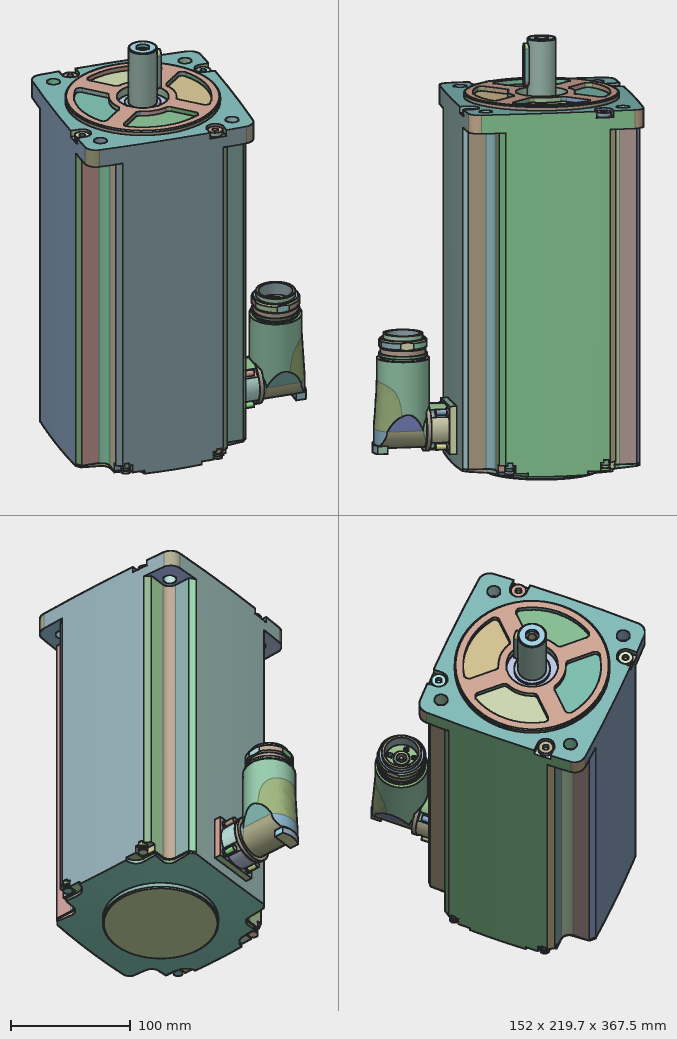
import cadquery as cq
import math


shaft_top = 367.5
pilot_top = 321.5
flange_top = 317.5
flange_bottom = 301.7
cap_top = 11.5

half_width = 76.0
side_sag = 1.5
corner_radius = 10.0
recess_start = 44.5
recess_chamfer = 5.0
recess_lip = 3.5
recess_inner = recess_start + recess_chamfer
recess_fillet = 7.5
cap_inset = 1.0

rear_plate_radius = 48.5
rear_plate_chamfer = 1.0
rear_cone_start = 5.0
rear_cone_slope = 0.11

bolt_offset = 58.5
bolt_hole_diameter = 11.0
screw_along_side = 40.0
screw_offset = 68.0
screw_slot_width = 14.7
screw_slot_depth = 5.5
screw_head_diameter = 12.5
screw_head_height = 3.5
screw_socket_diameter = 5.0

pilot_radius = 65.0
pilot_chamfer = 1.0
pocket_depth = 4.0
pocket_inner_radius = 28.3
pocket_outer_radius = 57.7
spoke_half_width = 7.7
pocket_corner = 4.0
bore_radius = 21.5
bore_depth = 7.5
seal_radius = 15.0
seal_height = 2.2

shaft_radius = 24.0 / 2
shaft_chamfer = 0.7
center_sink_diameter = 11.0
center_hole_diameter = 7.0
center_sink_depth = 3.0
center_hole_depth = 18.5
key_width = 8.0
key_height = 15.0
key_bottom = 327.0
key_length = 36.0

niche_center = 40.8
niche_inner = 36.0
niche_floor = 67.5
niche_top = 18.5
niche_runout = 10.5
rear_screw_radius = 4.0
rear_neck_radius = 3.3
rear_screw_steps = 3

connector_y = 118.0
connector_radius = 22.0
connector_shoulder = 99.2
elbow_z = 39.7
elbow_radius = 17.0
elbow_flare_top = 54.5
hub_radius = 19.5
hub_flange_radius = 20.2
elbow_back = 143.7
elbow_front = 100.7
hub_flange_thickness = 3.5
base_width = 40.8
base_thickness = 6.0
heel_length = 11.0
heel_bottom = 19.5
heel_top = 26.5
heel_width = 20.2
heel_overhang = 1.0
lean_radius = 21.5
lean_top = 86.5
collar_radius = 16.5
collar_top = 120.0
nut_radius = 20.2
nut_bottom = 108.0
nut_top = 116.0
nut_flat = 19.5
nut_chamfer = 1.5
neck_radius = 19.0
ring_bottom = 101.0
ring_top = 103.5
socket_radius = 14.5
socket_depth = 11.0
pin_circle_radius = 10.5
pin_angles = (0, 180, 240, 300)
pin_hole_diameter = 4.0
pin_diameter = 2.0
contact_hole_depth = 5.5
center_boss_diameter = 13.5
center_boss_height = 2.0
center_contact_hole = 8.5
center_pin_diameter = 3.6
key_slot_width = 4.0
hub_screw_offset = 14.7
hub_screw_diameter = 5.0
hub_relief_diameter = 8.5
hub_screw_height = 11.0
hub_washer_diameter = 6.5
hub_washer_thickness = 2.0

side_flat = half_width - corner_radius
side_radius = (side_flat**2 + side_sag**2) / (2 * side_sag)
bulge_center = side_radius - half_width
side_corner = (math.sqrt(2 * side_radius**2 - bulge_center**2) - bulge_center) / 2


def side_height(along):
    """Distance of the slightly bulged side face from the shaft axis."""
    return math.sqrt(side_radius**2 - along**2) - bulge_center


def turned(x, y, quarter):
    """Rotate a point about the shaft axis by quarter turns."""
    for _ in range(quarter):
        x, y = -y, x
    return (x, y)


def cylinder(radius, bottom, top, x=0.0, y=0.0):
    return cq.Workplane("XY", origin=(x, y, bottom)).circle(radius).extrude(top - bottom)


def y_cylinder(radius, y_start, y_end, x=0.0, z=elbow_z):
    plane = cq.Plane(origin=(x, y_start, z), xDir=(1, 0, 0), normal=(0, 1, 0))
    return cq.Workplane(plane).circle(radius).extrude(y_end - y_start)


def flange_plate():
    corner = side_corner
    outline = cq.Workplane("XY", origin=(0, 0, flange_bottom)).moveTo(-corner, -corner)
    for quarter in range(4):
        middle = turned(0, -half_width, quarter)
        outline = outline.threePointArc(middle, turned(corner, -corner, quarter))
    plate = outline.close().extrude(flange_top - flange_bottom)
    return plate.edges("|Z").fillet(corner_radius)


def housing_section(bottom, top, inset):
    """Bulged square prism whose corners are cut back by filleted square recesses."""
    edge = side_height(recess_start)
    step = edge - recess_lip
    inner = recess_inner - inset
    bend = inner + recess_fillet
    bend_mid = bend - recess_fillet * math.sqrt(0.5)
    outline = cq.Workplane("XY", origin=(0, 0, bottom)).moveTo(-recess_start, -edge)
    for quarter in range(4):
        outline = outline.threePointArc(
            turned(0, -half_width, quarter), turned(recess_start, -edge, quarter)
        )
        outline = outline.lineTo(*turned(inner, -step, quarter))
        outline = outline.lineTo(*turned(inner, -bend, quarter))
        outline = outline.threePointArc(
            turned(bend_mid, -bend_mid, quarter), turned(bend, -inner, quarter)
        )
        outline = outline.lineTo(*turned(step, -inner, quarter))
        if quarter < 3:
            outline = outline.lineTo(*turned(edge, -recess_start, quarter))
    return outline.close().extrude(top - bottom)


def rear_cap():
    """Rear cap turned to a shallow cone, with the round plate below it."""
    reach = 2 * half_width
    cone_rise = rear_cone_slope * (reach - rear_plate_radius)
    cone = (
        cq.Workplane("XZ")
        .polyline([
            (0, rear_cone_start),
            (rear_plate_radius, rear_cone_start),
            (reach, rear_cone_start + cone_rise),
            (reach, reach),
            (0, reach),
        ])
        .close()
        .revolve(360, (0, 0, 0), (0, 1, 0))
    )
    cap = housing_section(0, cap_top, cap_inset).intersect(cone)
    plate = cylinder(rear_plate_radius, 0, cap_top).faces("<Z").chamfer(rear_plate_chamfer)
    return cap.union(plate)


def rear_screw_niche(side, end):
    """Niche between a side face and a corner recess, running out in a curve through the rear cap."""
    width = recess_inner - niche_inner
    y = end * (niche_inner + width / 2)

    def slot(depth, top):
        x = side * (half_width - depth / 2)
        return cq.Workplane("XY", origin=(x, y, 0)).rect(depth, width).extrude(top)

    niche = slot(half_width - niche_floor, niche_top).union(slot(niche_runout, cap_top))
    return niche.union(cylinder(niche_runout, 0, cap_top, side * half_width, end * niche_inner))


def rear_screw(side, end):
    x = side * (half_width - rear_screw_radius)
    y = end * niche_center
    step = (niche_top - cap_top) / rear_screw_steps
    neck_bottom = cap_top + step
    screw = cylinder(rear_screw_radius, cap_top, neck_bottom, x, y)
    screw = screw.union(cylinder(rear_neck_radius, neck_bottom, niche_top, x, y))
    return screw.union(cylinder(rear_screw_radius, neck_bottom + step, niche_top + step, x, y))


def pilot_pocket():
    """Sector pocket between two diagonal spokes, on the +X side."""
    def spoke_point(radius):
        shift = spoke_half_width * math.sqrt(0.5)
        along = math.sqrt(radius**2 - spoke_half_width**2) * math.sqrt(0.5)
        return (along + shift, along - shift)

    inner_x, inner_y = spoke_point(pocket_inner_radius)
    outer_x, outer_y = spoke_point(pocket_outer_radius)
    return (
        cq.Workplane("XY", origin=(0, 0, pilot_top - pocket_depth))
        .moveTo(inner_x, -inner_y)
        .lineTo(outer_x, -outer_y)
        .threePointArc((pocket_outer_radius, 0), (outer_x, outer_y))
        .lineTo(inner_x, inner_y)
        .threePointArc((pocket_inner_radius, 0), (inner_x, -inner_y))
        .close()
        .extrude(pocket_depth)
        .edges("|Z")
        .fillet(pocket_corner)
    )


def flange_with_pilot():
    pilot = cylinder(pilot_radius, flange_bottom, pilot_top).faces(">Z").chamfer(pilot_chamfer)
    flange = flange_plate().union(pilot)
    for quarter in range(4):
        flange = flange.cut(pilot_pocket().rotate((0, 0, 0), (0, 0, 1), 90 * quarter))
        hole_x, hole_y = turned(bolt_offset, bolt_offset, quarter)
        flange = flange.cut(cylinder(bolt_hole_diameter / 2, flange_bottom, flange_top, hole_x, hole_y))
    seat = pilot_top - bore_depth
    flange = flange.cut(cylinder(bore_radius, seat, pilot_top))
    return flange.union(cylinder(seal_radius, seat, seat + seal_height))


def flange_screw_slot():
    """U-shaped slot open to the -Y side, with its socket screw head left standing."""
    floor = flange_top - screw_slot_depth
    radius = screw_slot_width / 2
    run = half_width - screw_offset
    slot = cylinder(radius, floor, flange_top, screw_along_side, -screw_offset)
    opening = cq.Workplane("XY", origin=(screw_along_side, -screw_offset - run / 2, floor))
    slot = slot.union(opening.rect(screw_slot_width, run).extrude(screw_slot_depth))
    head_top = floor + screw_head_height
    head = cylinder(screw_head_diameter / 2, floor, head_top, screw_along_side, -screw_offset)
    socket = cylinder(screw_socket_diameter / 2, floor, head_top, screw_along_side, -screw_offset)
    return slot.cut(head.cut(socket))


def shaft():
    body = cylinder(shaft_radius, flange_bottom, shaft_top).faces(">Z").chamfer(shaft_chamfer)
    body = body.cut(cylinder(center_sink_diameter / 2, shaft_top - center_sink_depth, shaft_top))
    body = body.cut(cylinder(center_hole_diameter / 2, shaft_top - center_hole_depth, shaft_top))
    key = (
        cq.Workplane("XZ", origin=(0, key_height, key_bottom + key_length / 2))
        .slot2D(key_length, key_width, 90)
        .extrude(key_height - center_sink_diameter / 2)
    )
    return body.union(key)


def connector_elbow():
    """Upright barrel leaning outward at its foot, rounded underneath along Y."""
    straight = cylinder(connector_radius, heel_bottom, connector_shoulder, 0, connector_y)
    foot_y = elbow_back - heel_overhang - lean_radius
    foot = cylinder(lean_radius, heel_bottom, elbow_z, 0, foot_y)
    lean = (
        cq.Workplane("XY", origin=(0, foot_y, elbow_z))
        .circle(lean_radius)
        .workplane(offset=lean_top - elbow_z)
        .center(0, connector_y - foot_y)
        .circle(lean_radius)
        .loft(ruled=True)
    )
    barrel = straight.union(foot).union(lean)

    reach = 2 * connector_radius
    flare_slope = (elbow_flare_top - elbow_z) / (connector_radius - elbow_radius)
    flare_end = elbow_z + flare_slope * (reach - elbow_radius)
    envelope = (
        cq.Workplane("XZ", origin=(0, elbow_back, 0))
        .moveTo(-reach, flare_end)
        .lineTo(-elbow_radius, elbow_z)
        .threePointArc((0, elbow_z - elbow_radius), (elbow_radius, elbow_z))
        .lineTo(reach, flare_end)
        .close()
        .extrude(elbow_back - half_width)
    )
    heel = (
        cq.Workplane("XY", origin=(0, elbow_back - heel_length / 2, heel_bottom))
        .rect(heel_width, heel_length)
        .extrude(heel_top - heel_bottom)
        .intersect(foot.translate((0, heel_overhang, 0)))
    )
    neck = y_cylinder(elbow_radius, elbow_front, connector_y)
    return barrel.intersect(envelope).union(heel).union(neck)


def connector_socket():
    """Plain collar, coupling nut and contact insert on top of the barrel."""
    def ring(radius, bottom, top):
        return cylinder(radius, bottom, top, 0, connector_y)

    nut_height = nut_top - nut_bottom
    nut = ring(nut_radius, nut_bottom, nut_top).edges().chamfer(nut_chamfer)
    flats = cq.Workplane("XY", origin=(0, connector_y, nut_bottom))
    nut = nut.intersect(flats.rect(2 * nut_flat, 2 * nut_flat).extrude(nut_height))
    socket = ring(neck_radius, connector_shoulder, nut_bottom)
    socket = socket.union(ring(nut_radius, ring_bottom, ring_top)).union(nut)
    socket = socket.union(ring(collar_radius, connector_shoulder, collar_top))

    floor = collar_top - socket_depth
    contact_floor = floor - contact_hole_depth
    boss_top = floor + center_boss_height
    socket = socket.cut(ring(socket_radius, floor, collar_top))
    socket = socket.union(ring(center_boss_diameter / 2, floor, boss_top))
    socket = socket.cut(ring(center_contact_hole / 2, contact_floor, boss_top))
    socket = socket.union(ring(center_pin_diameter / 2, contact_floor, boss_top))
    for angle in pin_angles:
        x = pin_circle_radius * math.cos(math.radians(angle))
        y = connector_y + pin_circle_radius * math.sin(math.radians(angle))
        socket = socket.cut(cylinder(pin_hole_diameter / 2, contact_floor, floor, x, y))
        socket = socket.union(cylinder(pin_diameter / 2, contact_floor, floor, x, y))
    key_slot = cq.Workplane("XY", origin=(0, connector_y + pin_circle_radius, contact_floor))
    return socket.cut(key_slot.rect(key_slot_width, key_slot_width).extrude(contact_hole_depth))


def connector_base():
    """Square base on the housing carrying a round hub held by four screws."""
    base_start = recess_inner
    base_end = half_width + base_thickness
    flange_start = elbow_front - hub_flange_thickness
    base = (
        cq.Workplane("XY")
        .box(base_width, base_end - base_start, base_width)
        .translate((0, (base_start + base_end) / 2, elbow_z))
    )
    hub = y_cylinder(hub_radius, base_end, flange_start)
    for x_side in (-1, 1):
        for z_side in (-1, 1):
            x = x_side * hub_screw_offset
            z = elbow_z + z_side * hub_screw_offset
            screw = y_cylinder(hub_screw_diameter / 2, base_start, base_end + hub_screw_height, x, z)
            washer = y_cylinder(hub_washer_diameter / 2, base_start, base_end + hub_washer_thickness, x, z)
            hub = hub.cut(y_cylinder(hub_relief_diameter / 2, base_end, flange_start, x, z))
            base = base.union(screw).union(washer)
    return base.union(hub).union(y_cylinder(hub_flange_radius, flange_start, elbow_front))


result = flange_with_pilot()
for slot_quarter in range(4):
    result = result.cut(flange_screw_slot().rotate((0, 0, 0), (0, 0, 1), 90 * slot_quarter))
result = result.union(housing_section(cap_top, flange_bottom, 0)).union(rear_cap())
for niche_side in (-1, 1):
    for niche_end in (-1, 1):
        result = result.cut(rear_screw_niche(niche_side, niche_end))
        result = result.union(rear_screw(niche_side, niche_end))
result = result.union(shaft())
result = result.union(connector_base()).union(connector_elbow()).union(connector_socket())